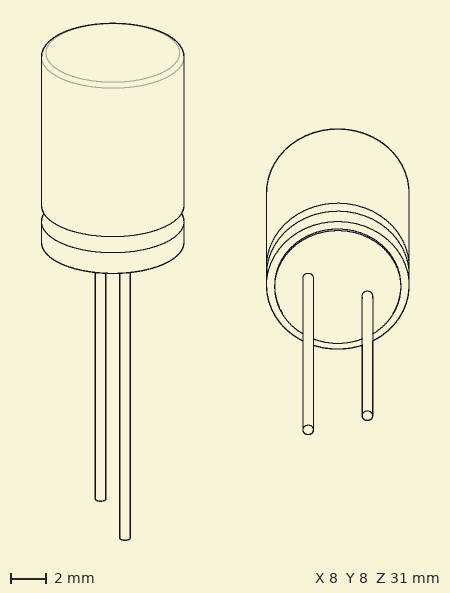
import cadquery as cq


can_diameter = 8.0
body_height = 12.0
top_fillet = 0.25

seal_diameter = 7.07
seal_step = 0.2

groove_height = 2.0
groove_radius = 0.5

lead_diameter = 0.6
lead_spacing = 3.5
long_lead_length = 19.0
short_lead_length = 15.0


def make_body():
    """Revolve the can and seal profile, then round the top rim."""
    can_radius = can_diameter / 2
    seal_radius = seal_diameter / 2
    groove_bottom = groove_height - groove_radius
    groove_top = groove_height + groove_radius
    profile = (
        cq.Workplane("XZ")
        .moveTo(0, 0)
        .lineTo(seal_radius, 0)
        .lineTo(seal_radius, seal_step)
        .lineTo(can_radius, seal_step)
        .lineTo(can_radius, groove_bottom)
        .threePointArc((can_radius - groove_radius, groove_height), (can_radius, groove_top))
        .lineTo(can_radius, body_height)
        .lineTo(0, body_height)
        .close()
    )
    body = profile.revolve(360, (0, 0, 0), (0, 1, 0))
    return body.faces(">Z").edges().fillet(top_fillet)


def make_lead(y_position, length):
    """Round wire hanging from the underside of the seal."""
    return (
        cq.Workplane("XY")
        .center(0, y_position)
        .circle(lead_diameter / 2)
        .extrude(-length)
    )


long_lead = make_lead(lead_spacing / 2, long_lead_length)
short_lead = make_lead(-lead_spacing / 2, short_lead_length)

result = make_body().union(long_lead).union(short_lead)